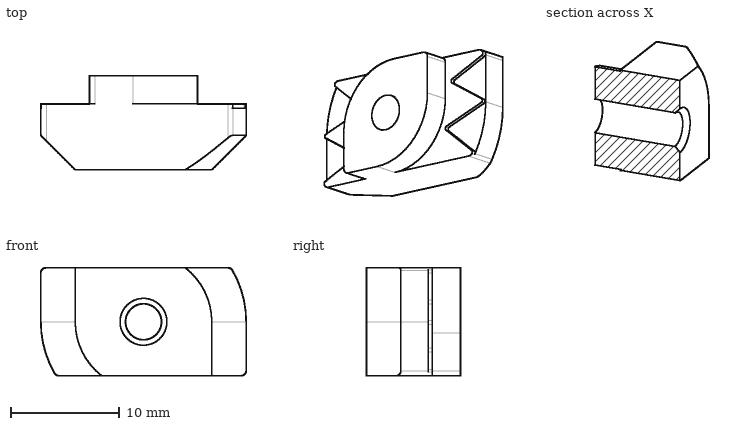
import cadquery as cq
import math

length = 19.01
height = 10.0
flange_depth = 6.1
boss_depth = 2.6

chamfer = 3.2
edge_radius = 0.5
boss_radius = 6.0

bore_radius = 1.65
countersink_radius = 2.17

tooth_depth = 0.4
tooth_radius = 0.2
tooth_tip = (-9.7, 0.02)
upper_valley = (-5.45, 2.59)
lower_valley = (-4.8, -1.79)
upper_tip_z = 4.45
lower_tip_z = -4.64

half_length = length / 2
half_height = height / 2
total_depth = flange_depth + boss_depth
front_half_length = half_length - chamfer
upper_tip = (-half_length, upper_tip_z)
lower_tip = (-math.sqrt(half_length**2 - lower_tip_z**2), lower_tip_z)


def plane_at(y):
    """XZ workplane at y; a negative extrusion runs toward +Y."""
    return cq.Workplane("XZ", origin=(0, y, 0))


def half_turn(body):
    """The body turned by 180 degrees about the Y axis."""
    return body.rotate((0, 0, 0), (0, 1, 0), 180)


def flange_block(y, depth):
    """Prism whose two opposite quarters follow a circle about the bore axis."""
    arc_end = math.sqrt(half_length**2 - half_height**2)
    mid_angle = math.asin(half_height / half_length) / 2
    mid_x = half_length * math.cos(mid_angle)
    mid_z = half_length * math.sin(mid_angle)
    block = (
        plane_at(y)
        .moveTo(half_length, -half_height)
        .lineTo(half_length, 0)
        .threePointArc((mid_x, mid_z), (arc_end, half_height))
        .lineTo(-half_length, half_height)
        .lineTo(-half_length, 0)
        .threePointArc((-mid_x, -mid_z), (-arc_end, -half_height))
        .close()
        .extrude(-depth)
    )
    return block.edges("|Y").edges(">Z or <Z").fillet(edge_radius)


def envelope_profile():
    """Half outline of the chamfered flange as seen along Z."""
    return (
        cq.Workplane("XY")
        .moveTo(0, 0)
        .lineTo(front_half_length, 0)
        .lineTo(half_length, chamfer)
        .lineTo(half_length, flange_depth)
        .lineTo(0, flange_depth)
        .close()
    )


def chamfer_envelope():
    """Cone for the round quarters joined to flat slopes for the square ones."""
    cone = envelope_profile().revolve(360, (0, 0, 0), (0, 1, 0))
    slope = envelope_profile().extrude(-half_height)
    return cone.union(slope).union(half_turn(slope))


def tooth_gaps(y):
    """Cutter for the two V gaps of the -X end, with the valleys and middle tip rounded."""
    outside = -1.2 * half_length
    gaps = (
        plane_at(y)
        .moveTo(outside, upper_tip_z)
        .lineTo(*upper_tip)
        .lineTo(*upper_valley)
        .lineTo(*tooth_tip)
        .lineTo(*lower_valley)
        .lineTo(*lower_tip)
        .lineTo(outside, lower_tip_z)
        .close()
        .extrude(-tooth_depth)
    )
    for x, z in (upper_valley, tooth_tip, lower_valley):
        corner = cq.NearestToPointSelector((x, y + tooth_depth / 2, z))
        gaps = gaps.edges("|Y").edges(corner).fillet(tooth_radius)
    return gaps


def toothed_layer():
    """Rear layer of the flange, its teeth repeated by a half turn at the other end."""
    y = flange_depth - tooth_depth
    gaps = tooth_gaps(y)
    layer = flange_block(y, tooth_depth).cut(gaps).cut(half_turn(gaps))
    for x, z in (upper_tip, lower_tip):
        for side in (1, -1):
            tip = cq.NearestToPointSelector((side * x, y + tooth_depth / 2, side * z))
            layer = layer.edges("|Y").edges(tip).fillet(tooth_radius)
    return layer


def boss():
    block = plane_at(flange_depth).rect(height, height).extrude(-boss_depth)
    block = block.edges("|Y").edges("(>X and >Z) or (<X and <Z)").fillet(boss_radius)
    return block.edges("|Y").edges("(<X and >Z) or (>X and <Z)").fillet(edge_radius)


def countersunk_bore():
    """Through bore along Y with a 45 degree countersink on the front face."""
    return (
        cq.Workplane("XY")
        .moveTo(0, 0)
        .lineTo(countersink_radius, 0)
        .lineTo(bore_radius, countersink_radius - bore_radius)
        .lineTo(bore_radius, total_depth)
        .lineTo(0, total_depth)
        .close()
        .revolve(360, (0, 0, 0), (0, 1, 0))
    )


flange = flange_block(0, flange_depth - tooth_depth).intersect(chamfer_envelope())
result = flange.union(toothed_layer()).union(boss()).cut(countersunk_bore())